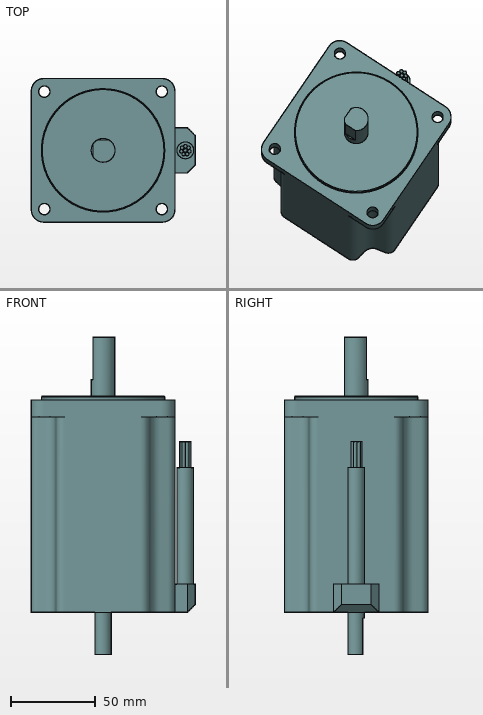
import cadquery as cq
import math


side = 85.0
half_side = side / 2
body_top = 125.5
flange_thickness = 10.0
flange_bottom = body_top - flange_thickness
flange_corner_radius = 7.5
hole_offset = 34.7
hole_diameter = 6.5

relief_radius = 6.5
blend_radius = 4.7
relief_wall_angle = math.radians(10.5)

pilot_diameter = 73.0
pilot_height = 2.5
pilot_chamfer = 0.5

front_shaft_radius = 7.03
front_shaft_length = 37.1
front_flat_length = 25.1
front_flat_depth = 1.0
rear_shaft_radius = 4.9
rear_shaft_length = 187.5 - body_top - front_shaft_length
rear_flat_length = rear_shaft_length - 3.4
rear_flat_depth = 1.0

outlet_reach = 12.0
outlet_width = 26.8
outlet_height = 16.7
outlet_chamfer = 4.7
cable_diameter = 10.0
cable_x = 48.5
cable_top = 85.5
wire_top = 100.9
wire_diameter = 2.0
wire_ring_radius = 2.5
ring_wire_count = 7


def cylinder(radius, bottom, top, x=0, y=0):
    return cq.Workplane("XY", origin=(x, y, bottom)).circle(radius).extrude(top - bottom)


def box_between(x_range, y_range, z_range):
    lows, highs = zip(x_range, y_range, z_range)
    lengths = [high - low for low, high in zip(lows, highs)]
    return cq.Workplane("XY", origin=lows).box(*lengths, centered=False)


def make_corner_relief():
    """Cutter for the +X +Y corner, symmetric about the corner's diagonal."""
    sin_wall = math.sin(relief_wall_angle)
    cos_wall = math.cos(relief_wall_angle)
    wall_distance = hole_offset * (sin_wall + cos_wall) - relief_radius
    blend_x = half_side - blend_radius
    blend_y = (wall_distance - blend_radius - blend_x * sin_wall) / cos_wall

    def on_blend(angle):
        return (blend_x + blend_radius * math.cos(angle), blend_y + blend_radius * math.sin(angle))

    wall_normal_angle = math.pi / 2 - relief_wall_angle
    blend_start = on_blend(0)
    blend_middle = on_blend(wall_normal_angle / 2)
    blend_end = on_blend(wall_normal_angle)
    arc_start = (hole_offset - relief_radius * sin_wall, hole_offset - relief_radius * cos_wall)
    arc_middle = hole_offset - relief_radius * math.sqrt(0.5)

    def mirrored(point):
        return (point[1], point[0])

    outer = half_side + 1.9
    return (
        cq.Workplane("XY")
        .moveTo(*blend_start)
        .threePointArc(blend_middle, blend_end)
        .lineTo(*arc_start)
        .threePointArc((arc_middle, arc_middle), mirrored(arc_start))
        .lineTo(*mirrored(blend_end))
        .threePointArc(mirrored(blend_middle), mirrored(blend_start))
        .lineTo(blend_start[1], outer)
        .lineTo(outer, outer)
        .lineTo(outer, blend_start[1])
        .lineTo(*blend_start)
        .close()
        .extrude(flange_bottom)
    )


def make_body():
    body = cq.Workplane("XY").rect(side, side).extrude(flange_bottom)
    relief = make_corner_relief()
    for quarter_turn in range(4):
        body = body.cut(relief.rotate((0, 0, 0), (0, 0, 1), 90 * quarter_turn))
    return body


def make_flange():
    return (
        cq.Workplane("XY", origin=(0, 0, flange_bottom))
        .rect(side, side)
        .extrude(flange_thickness)
        .edges("|Z")
        .fillet(flange_corner_radius)
        .faces(">Z")
        .workplane()
        .rect(2 * hole_offset, 2 * hole_offset, forConstruction=True)
        .vertices()
        .hole(hole_diameter)
    )


def make_pilot():
    pilot = cylinder(pilot_diameter / 2, body_top, body_top + pilot_height)
    return pilot.faces(">Z").edges().chamfer(pilot_chamfer)


def make_front_shaft():
    """Output shaft with two flats at right angles, on -X and +Y."""
    radius = front_shaft_radius
    tip = body_top + front_shaft_length
    flat_z = (tip - front_flat_length, tip)
    flat_distance = radius - front_flat_depth
    shaft = cylinder(radius, body_top, tip)
    shaft = shaft.cut(box_between((-radius, -flat_distance), (-radius, radius), flat_z))
    return shaft.cut(box_between((-radius, radius), (flat_distance, radius), flat_z))


def make_rear_shaft():
    """Rear shaft with a single flat on +Y."""
    radius = rear_shaft_radius
    tip = -rear_shaft_length
    flat_z = (tip, tip + rear_flat_length)
    shaft = cylinder(radius, tip, 0)
    return shaft.cut(box_between((-radius, radius), (radius - rear_flat_depth, radius), flat_z))


def make_cable_outlet():
    """Chamfered outlet block on the +X side, with the cable and its bare wires."""
    outlet = box_between(
        (half_side, half_side + outlet_reach),
        (-outlet_width / 2, outlet_width / 2),
        (0, outlet_height),
    )
    outlet = outlet.edges("(>X and |Z) or (>X and <Z)").chamfer(outlet_chamfer)
    outlet = outlet.union(cylinder(cable_diameter / 2, outlet_height, cable_top, cable_x))
    wire_places = [(cable_x, 0)]
    for index in range(ring_wire_count):
        angle = math.pi / 2 + 2 * math.pi * index / ring_wire_count
        wire_x = cable_x + wire_ring_radius * math.cos(angle)
        wire_places.append((wire_x, wire_ring_radius * math.sin(angle)))
    for x, y in wire_places:
        outlet = outlet.union(cylinder(wire_diameter / 2, cable_top, wire_top, x, y))
    return outlet


result = (
    make_body()
    .union(make_flange())
    .union(make_pilot())
    .union(make_front_shaft())
    .union(make_rear_shaft())
    .union(make_cable_outlet())
)